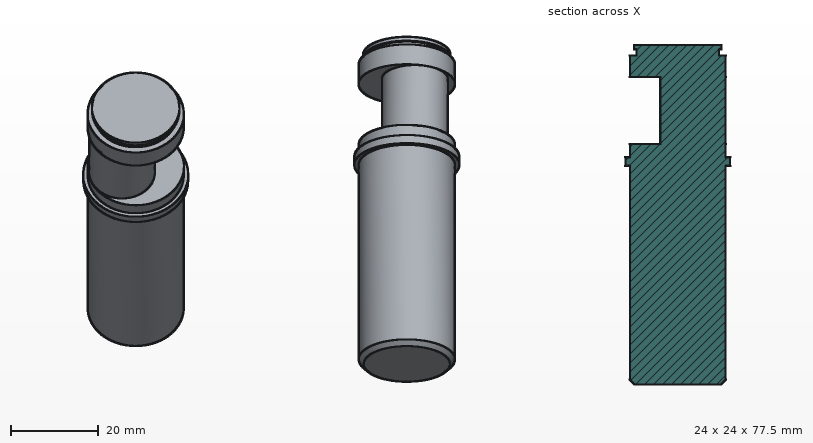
import cadquery as cq

total_height = 77.45
body_diameter = 22.0
flange_diameter = 24.0
base_chamfer = 1.2

neck_diameter = 15.0
neck_length = 15.2

head_thickness = 4.95
groove_diameter = 19.0
groove_width = 1.4
disc_diameter = 20.0
disc_thickness = 1.0

collar_height = 3.0
flange_thickness = 2.0

disc_bottom = total_height - disc_thickness
groove_bottom = disc_bottom - groove_width
head_bottom = groove_bottom - head_thickness
body_top = head_bottom - neck_length
flange_bottom = body_top - collar_height - flange_thickness

neck_y = (neck_diameter - body_diameter) / 2


def cylinder(diameter, height, bottom, center_y=0):
    return cq.Workplane("XY", origin=(0, center_y, bottom)).circle(diameter / 2).extrude(height)


body = cylinder(body_diameter, body_top, 0).faces("<Z").chamfer(base_chamfer)
flange = cylinder(flange_diameter, flange_thickness, flange_bottom)
neck = cylinder(neck_diameter, neck_length, body_top, neck_y)
head = cylinder(body_diameter, head_thickness, head_bottom)
groove_core = cylinder(groove_diameter, groove_width, groove_bottom)
disc = cylinder(disc_diameter, disc_thickness, disc_bottom)

result = body.union(flange).union(neck).union(head).union(groove_core).union(disc)